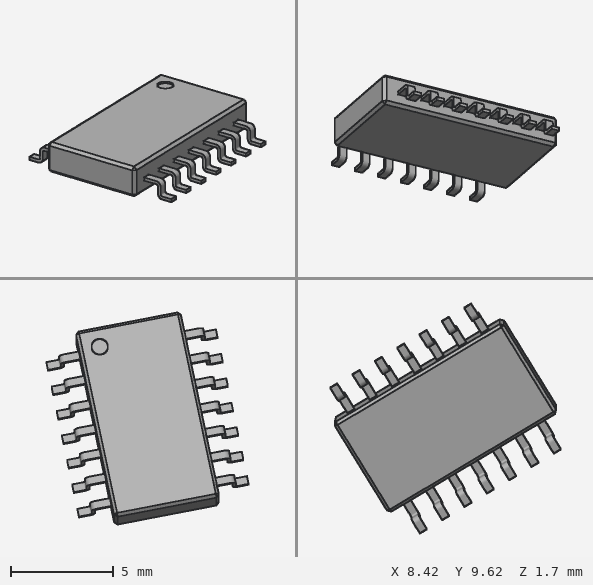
import cadquery as cq

span_x = 8.42
housing_length = 9.62
height = 1.7

lead_reach = 1.61
standoff = 0.1
edge_chamfer = 0.15
housing_width = span_x - 2 * lead_reach
housing_height = height - standoff

lead_count = 7
lead_pitch = 1.27
lead_width = 0.4
lead_thickness = 0.17
lead_top = 0.9
lead_underside = lead_top - lead_thickness
bend_inner_radius = 0.1
foot_length = 0.63
lead_positions = [(i - (lead_count - 1) / 2) * lead_pitch for i in range(lead_count)]

marker_diameter = 0.8
marker_sink = 0.1
marker_thickness = 0.1
marker_y = lead_positions[-1]
marker_inset = housing_length / 2 - marker_y
marker_x = marker_inset - housing_width / 2


def make_lead(y):
    """Double gull-wing lead: half of its bent outline, mirrored in X and extruded along Y."""
    tip_x = span_x / 2
    upright_outer_x = tip_x - foot_length
    upright_inner_x = upright_outer_x - lead_thickness
    upper_bend_x = upright_inner_x - bend_inner_radius
    lower_bend_x = upright_outer_x + bend_inner_radius
    upper_bend_z = lead_underside - bend_inner_radius
    lower_bend_z = lead_thickness + bend_inner_radius
    outline = (
        cq.Workplane("XZ", origin=(0, y + lead_width / 2, 0))
        .moveTo(0, lead_top)
        .lineTo(upper_bend_x, lead_top)
        .tangentArcPoint((upright_outer_x, upper_bend_z), relative=False)
        .lineTo(upright_outer_x, lower_bend_z)
        .tangentArcPoint((lower_bend_x, lead_thickness), relative=False)
        .lineTo(tip_x, lead_thickness)
        .lineTo(tip_x, 0)
        .lineTo(lower_bend_x, 0)
        .tangentArcPoint((upright_inner_x, lower_bend_z), relative=False)
        .lineTo(upright_inner_x, upper_bend_z)
        .tangentArcPoint((upper_bend_x, lead_underside), relative=False)
        .lineTo(0, lead_underside)
        .mirrorY()
    )
    return outline.extrude(lead_width)


def marker_disc(top, thickness):
    """Upright cylinder at the marker's place, reaching down from the given height."""
    return (
        cq.Workplane("XY", origin=(marker_x, marker_y, top))
        .circle(marker_diameter / 2)
        .extrude(-thickness)
    )


def make_housing():
    """Block chamfered on all edges, with a slot for each lead and a recess for the marker."""
    block = (
        cq.Workplane("XY", origin=(0, 0, standoff))
        .box(housing_width, housing_length, housing_height, centered=(True, True, False))
        .edges()
        .chamfer(edge_chamfer)
    )
    lead_slots = (
        cq.Workplane("XY", origin=(0, 0, lead_underside))
        .pushPoints([(0, y) for y in lead_positions])
        .rect(housing_width, lead_width)
        .extrude(lead_thickness)
    )
    marker_recess = marker_disc(height, marker_sink + marker_thickness)
    return block.cut(lead_slots).cut(marker_recess)


housing = make_housing()
leads = [make_lead(y) for y in lead_positions]
marker = marker_disc(height - marker_sink, marker_thickness)

result = cq.Compound.makeCompound([
    *housing.solids().vals(),
    *[lead.solids().val() for lead in leads],
    marker.val(),
])